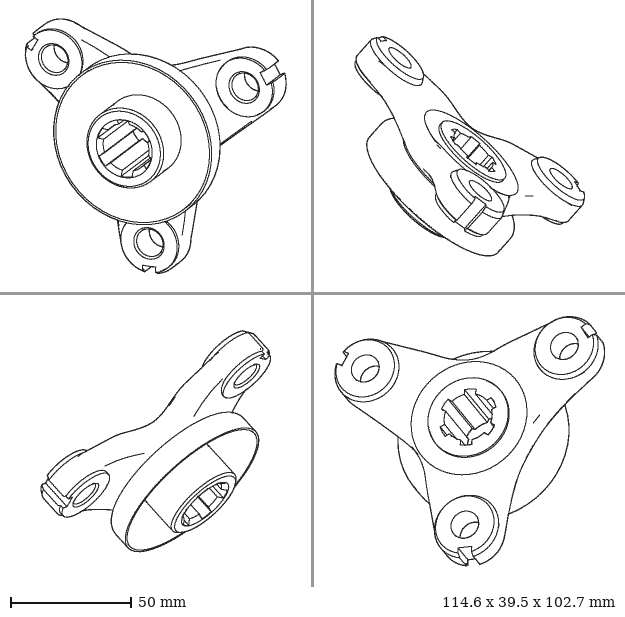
import cadquery as cq
import math


arm_count = 3
arm_step = 360.0 / arm_count
lug_circle_diameter = 100.0
lug_circle_radius = lug_circle_diameter / 2
lug_radius = 14.0
arm_taper = 9.6
web_radius = 37.6

lug_front = 25.4
arm_front = 27.2
arm_back = 37.1
hub_back = 34.8
lug_back = 39.5
shoulder_y = 20.0

outer_limit = 68.8
front_flat_radius = 47.0
front_arc_radius = 38.6
front_arc_inner = 22.9
back_flat_radius = 36.7
back_arc_radius = 19.7
back_arc_inner = 25.2
edge_round = 0.7
flank_tolerance = 1e-6

pad_radius = 12.8
back_pad_radius = 12.7
pin_hole_diameter = 12.0
hole_chamfer = 0.9
notch_width = 5.8
notch_depth = 3.9

tube_diameter = 35.0
tube_radius = tube_diameter / 2
tube_chamfer = 1.0
shoulder_radius = 25.7
shoulder_length = 1.7

spline_count = 6
spline_step = 360.0 / spline_count
bore_radius = 10.4
spline_root_radius = 12.5
spline_slot_width = 4.9
spline_turn = 4.5
lead_in_radius = 12.7
lead_in_depth = 1.8

cap_outer_diameter = 72.0
cap_inner_diameter = 70.0
cap_rim_y = 8.6
cap_corner_radius = 3.4
cap_wall = (cap_outer_diameter - cap_inner_diameter) / 2


def turned(profile):
    """Revolve a closed (radius, Y) profile, drawn in the XY plane, about the hub axis."""
    return profile.close().revolve(360, (0, 0, 0), (0, 1, 0))


def frustum(start_radius, end_radius, y_start, y_end):
    """Cone or cylinder about the hub axis."""
    profile = (
        cq.Workplane("XY")
        .moveTo(0, y_start)
        .lineTo(start_radius, y_start)
        .lineTo(end_radius, y_end)
        .lineTo(0, y_end)
    )
    return turned(profile)


def at_lugs(shape):
    """Copy a shape built about the hub axis to every lug; the first lug points to -Z."""
    first = shape.translate((0, 0, -lug_circle_radius))
    copies = first
    for i in range(1, arm_count):
        copies = copies.union(first.rotate((0, 0, 0), (0, 1, 0), i * arm_step))
    return copies


def polar(radius, angle):
    """Point (X, Z) at an angle in degrees from +X towards +Z."""
    return (radius * math.cos(math.radians(angle)), radius * math.sin(math.radians(angle)))


def arm_outline():
    """Three tapering arms with round ends, joined by concave webs, extruded along Y."""
    half_step = arm_step / 2
    taper = math.radians(arm_taper)
    web_half_angle = math.radians(90 - half_step - arm_taper)
    tangent_x = lug_circle_radius + lug_radius * math.sin(taper)
    tangent_z = lug_radius * math.cos(taper)
    bisector = math.radians(half_step)
    flank_reach = lug_circle_radius * math.sin(taper) + lug_radius + web_radius
    web_centre = flank_reach / math.sin(bisector + taper)
    web_half_width = web_radius * math.sin(web_half_angle)
    web_end_height = web_centre - web_radius * math.cos(web_half_angle)
    web_end_radius = math.hypot(web_half_width, web_end_height)
    web_end_angle = math.degrees(math.atan2(web_half_width, web_end_height))
    tangent_radius = math.hypot(tangent_x, tangent_z)
    tangent_angle = math.degrees(math.atan2(tangent_z, tangent_x))

    first_arm = -90.0
    outline = cq.Workplane("XZ").moveTo(*polar(tangent_radius, first_arm - tangent_angle))
    for i in range(arm_count):
        arm = first_arm + i * arm_step
        web = arm + half_step
        outline = (
            outline
            .threePointArc(
                polar(lug_circle_radius + lug_radius, arm),
                polar(tangent_radius, arm + tangent_angle),
            )
            .lineTo(*polar(web_end_radius, web - web_end_angle))
            .threePointArc(
                polar(web_centre - web_radius, web),
                polar(web_end_radius, web + web_end_angle),
            )
            .lineTo(*polar(tangent_radius, arm + arm_step - tangent_angle))
        )
    return outline.close().extrude(-lug_back)


def arc_drop(radius, flat_radius, arc_radius):
    """Y distance to the flat face for an arc that leaves it tangentially at flat_radius."""
    run = flat_radius - radius
    return arc_radius - math.sqrt(arc_radius**2 - run**2)


def front_arc_point(radius):
    """Profile point on the flaring front face."""
    return (radius, arm_front - arc_drop(radius, front_flat_radius, front_arc_radius))


def back_arc_point(radius):
    """Profile point on the hollow of the back face."""
    return (radius, arm_back - arc_drop(radius, back_flat_radius, back_arc_radius))


def plate_envelope():
    """Revolved body between the flaring front face and the hollow back face."""
    front_inner = front_arc_point(front_arc_inner)
    front_middle = front_arc_point((front_arc_inner + front_flat_radius) / 2)
    back_inner = back_arc_point(back_arc_inner)
    back_middle = back_arc_point((back_arc_inner + back_flat_radius) / 2)
    profile = (
        cq.Workplane("XY")
        .moveTo(0, front_inner[1])
        .lineTo(*front_inner)
        .threePointArc(front_middle, (front_flat_radius, arm_front))
        .lineTo(outer_limit, arm_front)
        .lineTo(outer_limit, arm_back)
        .lineTo(back_flat_radius, arm_back)
        .threePointArc(back_middle, back_inner)
        .lineTo(0, back_inner[1])
    )
    return turned(profile).rotate((0, 0, 0), (0, 1, 0), 90)


def arm_plate():
    """Arms with their front and back edges rounded, faced off at the shoulder."""
    plate = arm_outline().intersect(plate_envelope())
    flanks = plate.faces().filter(lambda face: abs(face.normalAt().y) < flank_tolerance)
    plate = flanks.edges("not |Y").fillet(edge_round)
    return plate.cut(frustum(outer_limit, outer_limit, 0, shoulder_y))


def lug_pads():
    """Raised round faces on both sides of every lug."""
    front_pad = frustum(pad_radius, pad_radius, lug_front, arm_back)
    body = frustum(lug_radius, lug_radius, arm_front + edge_round, arm_back)
    back_pad = frustum(lug_radius, back_pad_radius, arm_back, lug_back)
    return at_lugs(front_pad.union(body).union(back_pad))


def notches():
    """Slot across the tip of every lug."""
    notch = (
        cq.Workplane("XY")
        .box(notch_width, lug_back, lug_radius, centered=(True, False, False))
        .translate((0, 0, notch_depth - 2 * lug_radius))
    )
    return at_lugs(notch)


def pin_holes():
    """Through hole in every lug, chamfered at the front pad."""
    hole_radius = pin_hole_diameter / 2
    hole = frustum(hole_radius, hole_radius, 0, lug_back)
    mouth = frustum(hole_radius + hole_chamfer, hole_radius, lug_front, lug_front + hole_chamfer)
    return at_lugs(hole.union(mouth))


def hub():
    """Front tube, cap shoulder and low rear boss."""
    tube = frustum(tube_radius, tube_radius, 0, arm_front).faces("<Y").chamfer(tube_chamfer)
    shoulder = frustum(shoulder_radius, shoulder_radius, shoulder_y, shoulder_y + shoulder_length)
    boss = frustum(tube_radius, tube_radius, arm_front, hub_back)
    return tube.union(shoulder).union(boss)


def splined_bore():
    """Bore with straight slots and a conical lead-in at the front."""
    bore = frustum(bore_radius, bore_radius, 0, hub_back)
    slot_blank = cq.Workplane("XY").box(
        spline_slot_width, hub_back, spline_root_radius, centered=(True, False, False)
    )
    slots = cq.Workplane("XY")
    for i in range(spline_count):
        angle = i * spline_step - spline_turn
        slots = slots.union(slot_blank.rotate((0, 0, 0), (0, 1, 0), angle))
    root = frustum(spline_root_radius, spline_root_radius, 0, hub_back)
    lead_in = frustum(lead_in_radius, bore_radius, 0, lead_in_depth)
    return bore.union(slots.intersect(root)).union(lead_in)


def make_spider():
    """Hub with three arms, one solid."""
    body = arm_plate().union(lug_pads()).union(hub())
    return body.cut(notches()).cut(pin_holes()).cut(splined_bore())


def make_cap():
    """Thin dished cap that slides over the hub tube and rests on the shoulder."""
    outer_radius = cap_outer_diameter / 2
    inner_radius = cap_inner_diameter / 2
    outside = frustum(outer_radius, outer_radius, cap_rim_y, shoulder_y)
    outside = outside.faces(">Y").edges().fillet(cap_corner_radius)
    inside = frustum(inner_radius, inner_radius, cap_rim_y, shoulder_y - cap_wall)
    inside = inside.faces(">Y").edges().fillet(cap_corner_radius - cap_wall)
    hub_hole = frustum(tube_radius, tube_radius, 0, shoulder_y)
    return outside.cut(inside).cut(hub_hole)


spider = make_spider()
cap = make_cap()
result = cq.Compound.makeCompound([spider.val(), cap.val()])